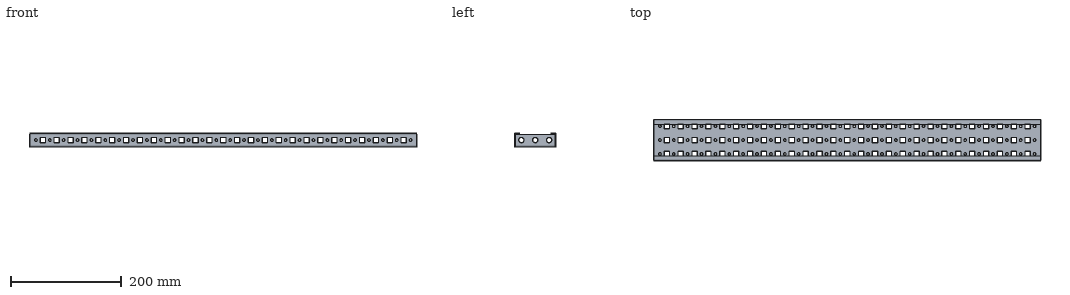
import cadquery as cq

length = 699.0
width = 75.0
height = 25.0
sheet = 1.2
bend_radius = 1.55
inner_bend_radius = bend_radius - sheet
flange_width = 9.0
end_wall_drop = 2.45

end_margin = 12.0
square_count = 27
round_count = square_count + 1
pitch = (length - 2 * end_margin) / square_count
square_size = 9.0
round_diameter = 4.25
end_hole_diameter = 9.0
row_offsets = (-pitch, 0, pitch)
mid_height = height / 2


def block(x_size, y_size, z_size, z_bottom=0):
    """Box centred on X and Y, standing on z_bottom."""
    box = cq.Workplane("XY").box(x_size, y_size, z_size, centered=(True, True, False))
    return box.translate((0, 0, z_bottom))


def make_channel():
    """Floor, side walls and inward flanges, stopping one sheet short of each end."""
    run = length - 2 * sheet
    opening = width - 2 * flange_width
    outside = block(run, width, height).edges("|X").fillet(bend_radius)
    inside = block(run, width - 2 * sheet, height - 2 * sheet, sheet)
    inside = inside.edges("|X").fillet(inner_bend_radius)
    return outside.cut(inside).cut(block(run, opening, height, sheet))


def make_end_walls():
    """Floor strip folded up at both ends, between the side bends and below the flanges."""
    strip_width = width - 2 * bend_radius
    outside = block(length, strip_width, height - end_wall_drop)
    outside = outside.edges("|Y and <Z").fillet(bend_radius)
    inside = block(length - 2 * sheet, strip_width, height, sheet)
    inside = inside.edges("|Y and <Z").fillet(inner_bend_radius)
    return outside.cut(inside)


def spaced(count):
    """Evenly pitched positions centred on zero."""
    return [(i - (count - 1) / 2) * pitch for i in range(count)]


def perforate(body, plane, reach, rows):
    """Cut alternating round and square holes along X in every row."""
    squares = [(x, row) for row in rows for x in spaced(square_count)]
    rounds = [(x, row) for row in rows for x in spaced(round_count)]
    sketch = cq.Workplane(plane)
    square_cutters = sketch.pushPoints(squares).rect(square_size, square_size).extrude(reach, both=True)
    round_cutters = sketch.pushPoints(rounds).circle(round_diameter / 2).extrude(reach, both=True)
    return body.cut(square_cutters).cut(round_cutters)


def drill_end_walls(body):
    """Cut the round holes that pass along X through both end walls."""
    points = [(row, mid_height) for row in row_offsets]
    holes = cq.Workplane("YZ").pushPoints(points).circle(end_hole_diameter / 2)
    return body.cut(holes.extrude(length, both=True))


tray = make_channel().union(make_end_walls())
tray = perforate(tray, "XY", sheet, row_offsets)
tray = perforate(tray, "XZ", width, (mid_height,))
result = drill_end_walls(tray)